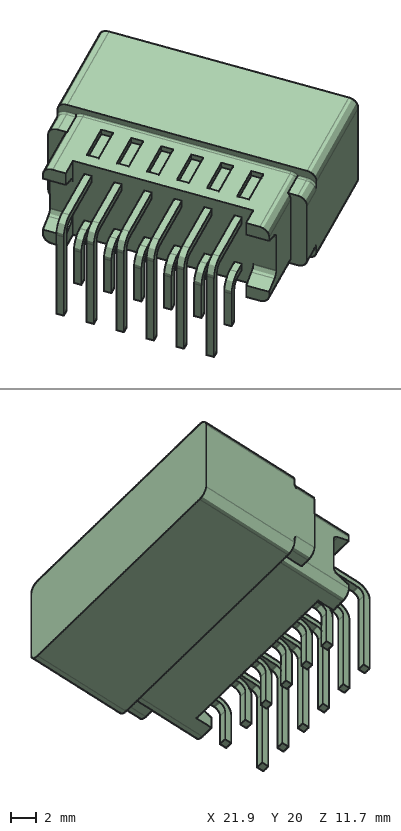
import cadquery as cq
import math


body_width = 21.85
body_height = 9.4
body_depth = 8.9
corner_radius = 0.8

neck_width = 19.09
neck_height = 8.08
neck_depth = 15.5
wing_height = 7.6
wing_depth = 10.92
root_fillet = 0.15
flange_margin = 0.61

rear_face_depth = 13.98
leg_width = 1.95
leg_gap_half_height = 2.77
leg_slope_degrees = 20.6
leg_fillet = 0.6

pin_columns = 6
pin_pitch = 2.53
pin_thickness = 0.63
pin_inner_radius = 0.63
pin_tip_z = -6.95
pin_embed = 0.44
upper_pin_top = 2.95
upper_pin_depth = 19.95
lower_pin_top = -2.12
lower_pin_depth = 16.2

pocket_width = 1.0
pocket_start_depth = 9.9
pocket_length = 3.05
pocket_depth = 0.5

column_positions = [(i - (pin_columns - 1) / 2) * pin_pitch for i in range(pin_columns)]


def rounded_block(width, height, depth):
    """Block from Y = 0 toward -Y with its four long edges rounded."""
    block = cq.Workplane("XZ").rect(width, height).extrude(depth)
    return block.edges("|Y").fillet(corner_radius)


def stepped_block(width, height, depth):
    """Block standing on an oversized flange, with a small fillet where the two meet."""
    flange = rounded_block(body_width + flange_margin, body_height + flange_margin, body_depth)
    block = rounded_block(width, height, depth)
    tolerance = root_fillet / 2
    root_edges = cq.selectors.BoxSelector(
        (-width / 2 - tolerance, -body_depth - tolerance, -height / 2 - tolerance),
        (width / 2 + tolerance, -body_depth + tolerance, height / 2 + tolerance),
    )
    return flange.union(block).edges(root_edges).fillet(root_fillet)


def housing():
    """Mating block, rear housing and side wings, trimmed to the outline of the block."""
    neck = stepped_block(neck_width, neck_height, neck_depth)
    wings = stepped_block(body_width, wing_height, wing_depth)
    outline = rounded_block(body_width, body_height, neck_depth)
    return neck.union(wings).intersect(outline)


def leg_gap():
    """Cut-out that leaves four legs, tapered toward its bottom and rounded in the corners."""
    slope_drop = (neck_depth - rear_face_depth) * math.tan(math.radians(leg_slope_degrees))
    inner_half_height = leg_gap_half_height - slope_drop
    tapered = (
        cq.Workplane("YZ")
        .moveTo(-neck_depth, -leg_gap_half_height)
        .lineTo(-rear_face_depth, -inner_half_height)
        .lineTo(-rear_face_depth, inner_half_height)
        .lineTo(-neck_depth, leg_gap_half_height)
        .close()
        .extrude(neck_width / 2, both=True)
        .edges(">Y and |X")
        .fillet(leg_fillet)
    )
    between_legs = (
        cq.Workplane("XZ", origin=(0, -rear_face_depth, 0))
        .rect(neck_width - 2 * leg_width, neck_height)
        .extrude(neck_depth - rear_face_depth)
    )
    return tapered.union(between_legs)


def pockets():
    """Row of shallow rectangular pockets opening upward."""
    pocket_y = -(pocket_start_depth + pocket_length / 2)
    return (
        cq.Workplane("XY", origin=(0, 0, neck_height / 2))
        .pushPoints([(x, pocket_y) for x in column_positions])
        .rect(pocket_width, pocket_length)
        .extrude(-pocket_depth)
    )


def pin_row(top, depth):
    """Row of square pins leaving the rear face and bending straight down."""
    start_y = -rear_face_depth + pin_embed
    bottom = top - pin_thickness
    outer_radius = pin_inner_radius + pin_thickness
    inner_y = -depth + pin_thickness
    pin = (
        cq.Workplane("YZ")
        .moveTo(start_y, top)
        .lineTo(-depth + outer_radius, top)
        .radiusArc((-depth, top - outer_radius), -outer_radius)
        .lineTo(-depth, pin_tip_z)
        .lineTo(inner_y, pin_tip_z)
        .lineTo(inner_y, bottom - pin_inner_radius)
        .radiusArc((inner_y + pin_inner_radius, bottom), pin_inner_radius)
        .lineTo(start_y, bottom)
        .close()
        .extrude(pin_thickness / 2, both=True)
    )
    row = cq.Workplane("XY")
    for x in column_positions:
        row = row.union(pin.translate((x, 0, 0)))
    return row


result = (
    housing()
    .cut(leg_gap())
    .cut(pockets())
    .union(pin_row(upper_pin_top, upper_pin_depth))
    .union(pin_row(lower_pin_top, lower_pin_depth))
)